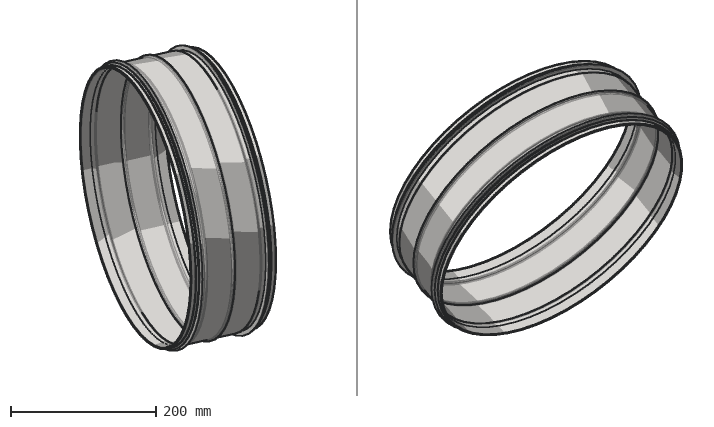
import cadquery as cq
import math

LENGTH = 128.0
HALF_LENGTH = LENGTH / 2
SHEET = 0.6

BODY_RADIUS = 399.0 / 2
BEAD_RADIUS = 404.3 / 2
GROOVE_RADIUS = 394.0 / 2
GASKET_BORE_RADIUS = 395.3 / 2
LIP_RADIUS = 404.3 / 2
FLANGE_RADIUS = 409 / 2

BEAD_HALF_WIDTH = 3.3
BEAD_CREST_SHARE = 0.45
STEP_START = 25.0
STEP_END = 21.3
STEP_CREST_SHARE = 0.4
HEM_LENGTH = 7.5
FOLD_RADIUS = (BODY_RADIUS - GROOVE_RADIUS + SHEET) / 2

LIP_START = 8.5
LIP_CREST = 10.2
LIP_END = 11.0
FLANGE_START = 13.5
FLANGE_END = 15.5
FLANGE_ROUND = 0.5


def revolve_about_axis(profile):
    """Turn a closed (radius, axial) profile about the Y axis."""
    return profile.close().revolve(360, (0, 0, 0), (0, 1, 0))


def straight_tube(outer_radius, start, end):
    """Sheet metal tube between two axial positions."""
    inner_radius = outer_radius - SHEET
    return revolve_about_axis(
        cq.Workplane("XY")
        .moveTo(inner_radius, start)
        .lineTo(outer_radius, start)
        .lineTo(outer_radius, end)
        .lineTo(inner_radius, end)
    )


def bent_tube(center, bend_radius, start_angle, end_angle):
    """Sheet bent along an arc; bend_radius is measured to the middle of the sheet."""

    def point(radius, angle):
        return (center[0] + radius * math.cos(angle), center[1] + radius * math.sin(angle))

    outside = bend_radius + SHEET / 2
    inside = bend_radius - SHEET / 2
    middle_angle = (start_angle + end_angle) / 2
    return revolve_about_axis(
        cq.Workplane("XY")
        .moveTo(*point(outside, start_angle))
        .threePointArc(point(outside, middle_angle), point(outside, end_angle))
        .lineTo(*point(inside, end_angle))
        .threePointArc(point(inside, middle_angle), point(inside, start_angle))
    )


def s_bend_geometry(drop, run, high_share):
    """Radii and sweep of two opposite bends that meet smoothly and together cover drop and run.

    high_share is the part of the run that is taken up by the bend at the larger radius.
    """
    radius_sum = (run**2 + drop**2) / (2 * drop)
    sweep = math.asin(run / radius_sum)
    high_bend_radius = radius_sum * high_share
    low_bend_radius = radius_sum - high_bend_radius
    return high_bend_radius, low_bend_radius, sweep


def high_bend(outer_radius, position, bend_radius, start_angle, end_angle):
    """Bend curving inwards, with its largest outer radius at the given axial position."""
    center = (outer_radius - SHEET / 2 - bend_radius, position)
    return bent_tube(center, bend_radius, start_angle, end_angle)


def low_bend(outer_radius, position, bend_radius, sweep):
    """Bend that levels out into a tube of the given outer radius at the given axial position."""
    center = (outer_radius - SHEET / 2 + bend_radius, position)
    return bent_tube(center, bend_radius, math.pi, math.pi + sweep)


BEAD_CREST_BEND, BEAD_FOOT_BEND, BEAD_SWEEP = s_bend_geometry(
    BEAD_RADIUS - BODY_RADIUS, BEAD_HALF_WIDTH, BEAD_CREST_SHARE
)


def bead_crest():
    return high_bend(BEAD_RADIUS, 0, BEAD_CREST_BEND, -BEAD_SWEEP, BEAD_SWEEP)


def bead_foot():
    return low_bend(BODY_RADIUS, BEAD_HALF_WIDTH, BEAD_FOOT_BEND, BEAD_SWEEP)


def groove_step():
    """Step from the body down to the groove near the +Y end."""
    crest_bend, foot_bend, sweep = s_bend_geometry(
        BODY_RADIUS - GROOVE_RADIUS, STEP_START - STEP_END, STEP_CREST_SHARE
    )
    crest = high_bend(BODY_RADIUS, HALF_LENGTH - STEP_START, crest_bend, 0, sweep)
    foot = low_bend(GROOVE_RADIUS, HALF_LENGTH - STEP_END, foot_bend, sweep)
    return crest.union(foot)


def end_fold():
    """Half-round fold that turns the groove wall back outwards as a hem."""
    center = (BODY_RADIUS - FOLD_RADIUS, HALF_LENGTH - FOLD_RADIUS)
    return bent_tube(center, FOLD_RADIUS - SHEET / 2, 0, math.pi)


def half_sheet():
    """Sheet metal from the foot of the middle bead to the end on the +Y side."""
    fold_start = HALF_LENGTH - FOLD_RADIUS
    body = straight_tube(BODY_RADIUS, BEAD_HALF_WIDTH, HALF_LENGTH - STEP_START)
    groove = straight_tube(GROOVE_RADIUS, HALF_LENGTH - STEP_END, fold_start)
    hem = straight_tube(BODY_RADIUS, HALF_LENGTH - HEM_LENGTH, fold_start)
    return bead_foot().union(body).union(groove_step()).union(groove).union(end_fold()).union(hem)


def make_coupling():
    half = half_sheet()
    return bead_crest().union(half).union(half.mirror("XZ"))


def make_gasket():
    """Rubber ring on the +Y side: a base held by the hem, a sloped lip and a tall flange."""
    base_radius = BODY_RADIUS - SHEET
    fold_start = HALF_LENGTH - FOLD_RADIUS
    lip_start = HALF_LENGTH - LIP_START
    lip_crest = HALF_LENGTH - LIP_CREST
    lip_end = HALF_LENGTH - LIP_END
    flange_start = HALF_LENGTH - FLANGE_START
    flange_end = HALF_LENGTH - FLANGE_END
    return revolve_about_axis(
        cq.Workplane("XY")
        .moveTo(GASKET_BORE_RADIUS, fold_start)
        .lineTo(base_radius, fold_start)
        .lineTo(base_radius, lip_start)
        .lineTo(LIP_RADIUS, lip_crest)
        .lineTo(LIP_RADIUS, lip_end)
        .lineTo(base_radius, lip_end)
        .lineTo(base_radius, flange_start)
        .lineTo(FLANGE_RADIUS - FLANGE_ROUND, flange_start)
        .radiusArc((FLANGE_RADIUS, flange_start - FLANGE_ROUND), FLANGE_ROUND)
        .lineTo(FLANGE_RADIUS, flange_end + FLANGE_ROUND)
        .radiusArc((FLANGE_RADIUS - FLANGE_ROUND, flange_end), FLANGE_ROUND)
        .lineTo(GASKET_BORE_RADIUS, flange_end)
    )


coupling = make_coupling()

gaskets = []
for end_direction in (1, -1):
    gasket = make_gasket()
    if end_direction < 0:
        gasket = gasket.mirror("XZ")
    gaskets.append(gasket.val())

result = cq.Compound.makeCompound([coupling.val(), *gaskets])